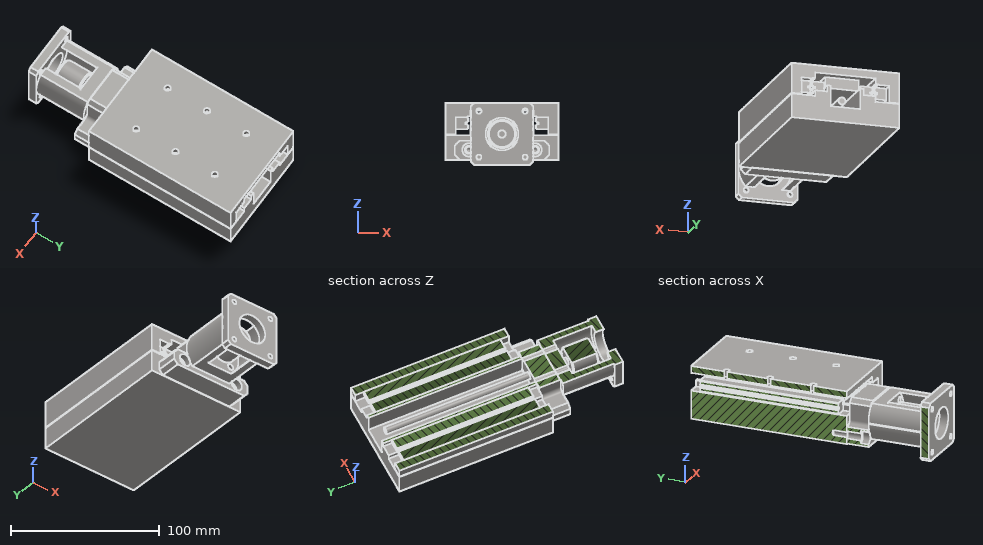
import cadquery as cq
import math


stage_width = 76.2
stage_length = 114.3
stage_height = 38.5
base_height = 16.75
running_gap = 0.5

rail_pair_width = 18.0
rail_width = 8.25
rail_height = 8.2
rail_bottom = 20.65
rail_inset = 6.35
rail_chamfer = 0.7
groove_mouth = 2.8
groove_slot = 1.0
groove_slot_depth = 1.8

table_cavity_half_width = 31.0
table_rail_relief = 0.5
table_relief_overlap = 0.3
table_roof = 33.2
keel_half_width = 12.0
keel_bottom = 25.6
keel_inset = 7.6

pedestal_top = 25.0
channel_half_width = 10.3
channel_floor = 10.5

table_hole_diameter = 4.2
table_hole_x = 19.05
table_hole_pitch = 31.75

housing_width = 63.5
housing_neck_width = 33.0
housing_depth = 15.75
housing_bottom = 0.4
housing_shoulder = 12.95
housing_top = 31.45
housing_chamfer = 3.175
cap_screw_x = 22.2
cap_screw_z = 6.9
cap_screw_hole = 5.5
cap_screw_head_bore = 9.0
cap_screw_head_depth = 5.5
tapped_hole_diameter = 4.2
tapped_hole_depth = 10.0
drill_tip_angle = 118.0

motor_plate_size = 41.91
motor_plate_thickness = 6.35
motor_plate_chamfer = 2.4
motor_hole_diameter = 3.4
motor_hole_pitch = 31.0
motor_pilot_diameter = 22.0
bracket_length = 44.45
bracket_wall = 9.525
bracket_height = 25.8
bracket_flat_width = 31.9
bracket_bore_diameter = 32.2
bracket_screw_clearance = 4.4
bracket_screw_tapping = 3.5
bracket_screw_pitch_x = 18.8
bracket_screw_pitch_z = 15.0

screw_diameter = 5.0
coupling_diameter = 19.05
coupling_length = 19.05
coupling_chamfer = 0.8
coupling_gap = 3.1

half_width = stage_width / 2
rail_top = rail_bottom + rail_height
rail_middle = rail_bottom + rail_height / 2
rail_length = stage_length - 2 * rail_inset
pedestal_half_width = table_cavity_half_width - rail_pair_width
ledge_half_width = pedestal_half_width + rail_width
axis_z = stage_height - motor_plate_size / 2
housing_front = -housing_depth
bracket_front = housing_front - bracket_length
plate_back = bracket_front + motor_plate_thickness
bore_back = housing_front - bracket_wall
coupling_back = bore_back - coupling_gap
coupling_front = coupling_back - coupling_length
screw_front = coupling_back - coupling_length / 2
screw_back = stage_length - keel_inset
bracket_screw_points = [
    (sx * bracket_screw_pitch_x / 2, axis_z + sz * bracket_screw_pitch_z / 2)
    for sx in (-1, 1)
    for sz in (-1, 1)
]
cap_screw_points = [(-cap_screw_x, cap_screw_z), (cap_screw_x, cap_screw_z)]


def plane_at(y):
    """XZ plane at the given Y, with its normal along +Y: local x is -X, local y is +Z."""
    return cq.Workplane(cq.Plane(origin=(0, y, 0), xDir=(-1, 0, 0), normal=(0, 1, 0)))


def block(x_min, x_max, y_min, y_max, z_min, z_max):
    size = (x_max - x_min, y_max - y_min, z_max - z_min)
    return cq.Workplane("XY").box(*size, centered=False).translate((x_min, y_min, z_min))


def mirrored(points):
    """Close a right-hand half outline with its mirror image about X = 0."""
    return points + [(-x, z) for x, z in reversed(points)]


def rods(points, diameter, y_min, y_max):
    """Round rods along Y through the given (x, z) points, used as hole cutters."""
    local_points = [(-x, z) for x, z in points]
    return plane_at(y_min).pushPoints(local_points).circle(diameter / 2).extrude(y_max - y_min)


def make_base():
    outline = mirrored([
        (half_width, 0),
        (half_width, base_height),
        (ledge_half_width, base_height),
        (ledge_half_width, rail_bottom),
        (pedestal_half_width, rail_bottom),
        (pedestal_half_width, pedestal_top),
        (channel_half_width, pedestal_top),
        (channel_half_width, channel_floor),
    ])
    base = plane_at(0).polyline(outline).close().extrude(stage_length)
    tip_radius = tapped_hole_diameter / 2
    tip_length = tip_radius / math.tan(math.radians(drill_tip_angle / 2))
    base = base.cut(rods(cap_screw_points, tapped_hole_diameter, 0, tapped_hole_depth))
    for x, z in cap_screw_points:
        start = cq.Vector(x, tapped_hole_depth, z)
        drill_tip = cq.Solid.makeCone(tip_radius, 0, tip_length, start, cq.Vector(0, 1, 0))
        base = base.cut(cq.Workplane(drill_tip))
    return base


def make_table():
    leg_bottom = base_height + running_gap
    relief_edge = table_cavity_half_width - rail_width + table_relief_overlap
    outline = mirrored([
        (half_width, stage_height),
        (half_width, leg_bottom),
        (table_cavity_half_width, leg_bottom),
        (table_cavity_half_width, rail_top),
        (relief_edge, rail_top),
        (relief_edge, rail_top + table_rail_relief),
        (ledge_half_width, rail_top + table_rail_relief),
        (ledge_half_width, table_roof),
    ])
    table = plane_at(0).polyline(outline).close().extrude(stage_length)
    keel = block(
        -keel_half_width, keel_half_width,
        keel_inset, stage_length - keel_inset,
        keel_bottom, table_roof,
    )
    holes = (
        cq.Workplane("XY", origin=(0, stage_length / 2, rail_bottom))
        .rarray(2 * table_hole_x, table_hole_pitch, 2, 3)
        .circle(table_hole_diameter / 2)
        .extrude(stage_height - rail_bottom)
    )
    return table.union(keel).cut(holes)


def make_rail(back_x, facing):
    """Rail with its back at back_x and its grooved face towards facing (+1 or -1 along X)."""
    mouth_depth = (groove_mouth - groove_slot) / 2
    lower = [
        (0, -rail_height / 2),
        (rail_width - rail_chamfer, -rail_height / 2),
        (rail_width, -rail_height / 2 + rail_chamfer),
        (rail_width, -groove_mouth / 2),
        (rail_width - mouth_depth, -groove_slot / 2),
        (rail_width - groove_slot_depth, -groove_slot / 2),
    ]
    upper = [(depth, -height) for depth, height in reversed(lower)]
    outline = [(-(back_x + facing * depth), rail_middle + height) for depth, height in lower + upper]
    return plane_at(rail_inset).polyline(outline).close().extrude(rail_length)


def make_rails():
    rails = []
    for side in (-1, 1):
        rails.append(make_rail(side * table_cavity_half_width, -side))
        rails.append(make_rail(side * pedestal_half_width, side))
    return rails


def make_housing():
    foot = housing_width / 2
    neck = housing_neck_width / 2
    corner = housing_chamfer
    fillet_offset = corner * (1 - math.sqrt(0.5))
    fillet_middle = (neck + fillet_offset, housing_shoulder + fillet_offset)
    half = (
        plane_at(housing_front)
        .moveTo(0, housing_bottom)
        .lineTo(foot - corner, housing_bottom)
        .lineTo(foot, housing_bottom + corner)
        .lineTo(foot, housing_shoulder - corner)
        .lineTo(foot - corner, housing_shoulder)
        .lineTo(neck + corner, housing_shoulder)
        .threePointArc(fillet_middle, (neck, housing_shoulder + corner))
        .lineTo(neck, housing_top - corner)
        .lineTo(neck - corner, housing_top)
        .lineTo(0, housing_top)
        .close()
        .extrude(housing_depth)
    )
    housing = half.union(half.mirror("YZ")).clean()
    head_bottom = housing_front + cap_screw_head_depth
    return (
        housing
        .cut(rods(cap_screw_points, cap_screw_hole, housing_front, 0))
        .cut(rods(cap_screw_points, cap_screw_head_bore, housing_front, head_bottom))
        .cut(rods(bracket_screw_points, bracket_screw_tapping, housing_front, 0))
        .cut(rods([(0, axis_z)], screw_diameter, housing_front, 0))
    )


def make_bracket():
    flat = bracket_flat_width / 2
    side = motor_plate_size / 2
    bottom = axis_z - bracket_height / 2
    top = axis_z + bracket_height / 2
    body = (
        plane_at(plate_back)
        .moveTo(-flat, bottom)
        .lineTo(flat, bottom)
        .threePointArc((side, axis_z), (flat, top))
        .lineTo(-flat, top)
        .threePointArc((-side, axis_z), (-flat, bottom))
        .close()
        .extrude(housing_front - plate_back)
    )
    plate = block(-side, side, bracket_front, plate_back, axis_z - side, axis_z + side)
    plate = plate.edges("|Y").chamfer(motor_plate_chamfer)
    reach = motor_hole_pitch / 2
    motor_holes = [(sx * reach, axis_z + sz * reach) for sx in (-1, 1) for sz in (-1, 1)]
    return (
        body.cut(rods([(0, axis_z)], bracket_bore_diameter, plate_back, bore_back))
        .union(plate)
        .cut(rods(motor_holes, motor_hole_diameter, bracket_front, plate_back))
        .cut(rods([(0, axis_z)], motor_pilot_diameter, bracket_front, plate_back))
        .cut(rods(bracket_screw_points, bracket_screw_clearance, bore_back, housing_front))
        .cut(rods([(0, axis_z)], screw_diameter, bore_back, housing_front))
    )


def make_coupling():
    coupling = rods([(0, axis_z)], coupling_diameter, coupling_front, coupling_back)
    coupling = coupling.edges().chamfer(coupling_chamfer)
    return coupling.cut(rods([(0, axis_z)], screw_diameter, coupling_front, coupling_back))


def make_lead_screw():
    return rods([(0, axis_z)], screw_diameter, screw_front, screw_back)


base = make_base()
table = make_table()
rails = make_rails()
housing = make_housing()
bracket = make_bracket()
coupling = make_coupling()
lead_screw = make_lead_screw()

result = cq.Compound.makeCompound([
    base.val(),
    table.val(),
    *[rail.val() for rail in rails],
    housing.val(),
    bracket.val(),
    coupling.val(),
    lead_screw.val(),
])